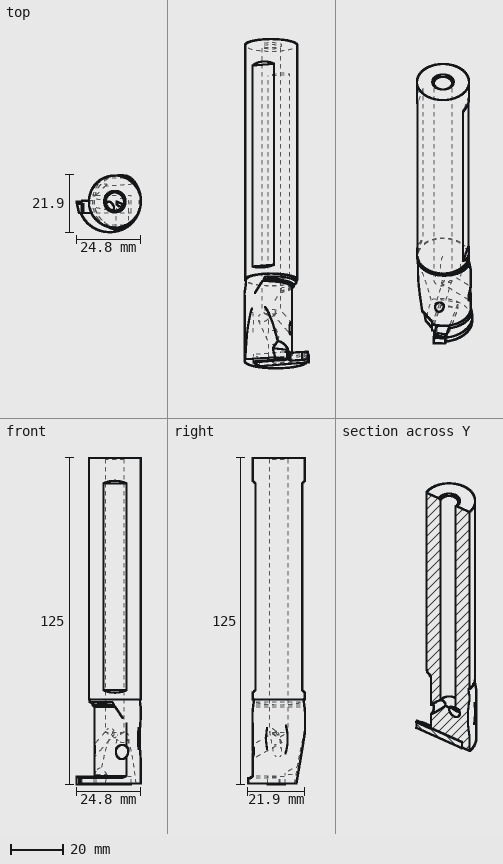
import cadquery as cq
import math

total_height = 125.0
shank_radius = 10.0
shank_bottom = 32.6
flat_distance = 9.0
flat_bottom = 36.1
flat_top = 115.2
flat_run_out = shank_radius - flat_distance

bore_radius = 3.5
bore_mouth_radius = 4.1
bore_bottom = 20.0
drill_tip_angle = 118.0

collar_radius = 9.6
collar_bottom = 31.6
collar_chamfer_end = 30.5

base_height = 0.4
inner_radius = 10.1
inner_center_x = 2.2
outer_radius = 12.0
outer_center_x = shank_radius - outer_radius
outer_center_y = 0.2
horn_radius = 10.9
horn_height = 23.1

root_size = 0.8

blade_top = 2.5

insert_top = 3.1
insert_tip_x = -14.8
insert_end_x = 6.2
insert_front_y = -4.4
insert_nose_y = 0.0
insert_land_y = 0.4
insert_shoulder_y = 2.4
nose_end_x = -12.6
land_end_x = -8.0
nose_relief = 1.0

groove_start_y = -0.9
groove_edge_x = -12.0
groove_floor_x = -12.8
groove_depth = 0.6
groove_tip_depth = 0.2

pocket_wall_x = -7.2
pocket_wall_turn = 45.0
pocket_height = 3.9
pocket_slope_top = 6.5
pocket_slope_run = 1.8
back_top = 21.5
back_top_y = 10.0
back_foot_y = 6.1
back_twist = 4.0

hollow_depth = 0.8
hollow_height = 18.8
hollow_mid_z = 17.5
hollow_twist = 5.0

front_outlet_diameter = 4.8
front_outlet_mouth = (2.8, -10.0, 12.5)
front_outlet_target = (3.0, 0.0, 18.1)
side_outlet_diameter = 3.2
side_outlet_mouth = (-7.9, -0.5, 12.9)
side_outlet_target = (-0.6, -2.0, 21.2)
outlet_overrun = 0.5

reach = 50.0


def cylinder(radius, bottom, top, x=0.0, y=0.0):
    return cq.Workplane("XY", origin=(x, y, bottom)).circle(radius).extrude(top - bottom)


def cone(lower_radius, upper_radius, bottom, top, x=0.0):
    return cq.Workplane(
        cq.Solid.makeCone(lower_radius, upper_radius, top - bottom, cq.Vector(x, 0, bottom))
    )


def front_half(bottom, top):
    """Block that fills everything on the -Y side of the shank axis."""
    return cq.Workplane("XY", origin=(0, -reach / 2, bottom)).rect(reach, reach).extrude(top - bottom)


def make_shank():
    shank = cylinder(shank_radius, shank_bottom, total_height)
    for side in (1, -1):
        flat_cut = (
            cq.Workplane("YZ")
            .polyline([
                (side * flat_distance, flat_bottom),
                (side * flat_distance, flat_top),
                (side * shank_radius, flat_top + flat_run_out),
                (side * shank_radius, flat_bottom - flat_run_out),
            ])
            .close()
            .extrude(shank_radius, both=True)
        )
        shank = shank.cut(flat_cut)
    return shank


def make_neck():
    inner = cylinder(inner_radius, base_height, shank_bottom, inner_center_x)
    outer = cylinder(outer_radius, base_height, shank_bottom, outer_center_x, outer_center_y)
    trim = cylinder(horn_radius, base_height, horn_height).union(
        cone(horn_radius, collar_radius, horn_height, collar_bottom)
    )
    neck = inner.intersect(outer).intersect(trim)
    collar = cylinder(collar_radius, collar_bottom, shank_bottom)
    collar_chamfer = cone(
        inner_radius - inner_center_x, collar_radius, collar_chamfer_end, collar_bottom
    )
    collar_root = cone(
        inner_radius, inner_radius + root_size, collar_chamfer_end - root_size, collar_chamfer_end,
        inner_center_x,
    ).intersect(outer).intersect(trim)
    return neck.union(collar).union(collar_chamfer).union(collar_root)


def make_blade():
    root_top = blade_top + root_size
    root = cone(inner_radius + root_size, inner_radius, blade_top, root_top, inner_center_x)
    disc = cylinder(outer_radius, base_height, root_top, outer_center_x, outer_center_y)
    plate = disc.intersect(front_half(base_height, blade_top))
    return plate.union(root.intersect(disc).intersect(front_half(blade_top, root_top)))


def make_bore():
    tip_depth = bore_radius / math.tan(math.radians(drill_tip_angle / 2))
    mouth_depth = bore_mouth_radius - bore_radius
    return (
        cq.Workplane("XZ")
        .polyline([
            (0, bore_bottom - tip_depth),
            (bore_radius, bore_bottom),
            (bore_radius, total_height - mouth_depth),
            (bore_mouth_radius, total_height),
            (0, total_height),
        ])
        .close()
        .revolve(360, (0, 0, 0), (0, 1, 0))
    )


def make_outlet(diameter, mouth, target):
    start = cq.Vector(*mouth)
    direction = cq.Vector(*target) - start
    outside = start - direction * outlet_overrun
    return cq.Workplane(
        cq.Solid.makeCylinder(diameter / 2, direction.Length * (1 + outlet_overrun), outside, direction)
    )


def make_chip_pocket():
    wall_foot = (pocket_wall_x, insert_shoulder_y, 0)
    tool = (
        cq.Workplane("XZ", origin=wall_foot)
        .polyline([
            (-reach, 0),
            (0, 0),
            (0, pocket_height),
            (-pocket_slope_run, pocket_slope_top),
            (-reach, pocket_slope_top),
        ])
        .close()
        .extrude(reach, both=True)
        .rotate(wall_foot, (pocket_wall_x, insert_shoulder_y, 1), -pocket_wall_turn)
    )
    behind_insert = (
        cq.Workplane("XY", origin=(0, insert_shoulder_y + reach / 2, 0)).rect(reach, reach).extrude(reach)
    )
    return tool.intersect(behind_insert)


def make_back_relief():
    return (
        cq.Workplane("YZ")
        .polyline([(back_foot_y, 0), (reach, 0), (reach, back_top), (back_top_y, back_top)])
        .close()
        .extrude(reach, both=True)
        .rotate((0, 0, 0), (0, 0, 1), back_twist)
    )


def make_hollow():
    radius = (hollow_height ** 2 / 4 + hollow_depth ** 2) / (2 * hollow_depth)
    center_x = shank_radius - hollow_depth + radius
    return (
        cq.Workplane("XZ", origin=(center_x, 0, hollow_mid_z))
        .circle(radius)
        .extrude(reach, both=True)
        .rotate((0, 0, 0), (0, 0, 1), -hollow_twist)
    )


def make_insert():
    blank = (
        cq.Workplane("XY")
        .polyline([
            (insert_tip_x, insert_nose_y),
            (nose_end_x, insert_nose_y),
            (nose_end_x, insert_land_y),
            (land_end_x, insert_land_y),
            (land_end_x, insert_shoulder_y),
            (insert_end_x, insert_shoulder_y),
            (insert_end_x, insert_front_y),
            (insert_tip_x + nose_relief, insert_front_y),
        ])
        .close()
        .extrude(insert_top)
    )
    groove = (
        cq.Workplane("XZ", origin=(0, groove_start_y, 0))
        .polyline([
            (groove_edge_x, insert_top),
            (groove_floor_x, insert_top - groove_depth),
            (insert_tip_x, insert_top - groove_tip_depth),
            (insert_tip_x, insert_top),
        ])
        .close()
        .extrude(reach)
    )
    return blank.cut(groove)


def make_holder():
    holder = make_shank().union(make_neck()).union(make_blade())
    holder = holder.cut(make_bore())
    holder = holder.cut(make_outlet(front_outlet_diameter, front_outlet_mouth, front_outlet_target))
    holder = holder.cut(make_outlet(side_outlet_diameter, side_outlet_mouth, side_outlet_target))
    return holder.cut(make_back_relief()).cut(make_chip_pocket()).cut(make_hollow())


insert = make_insert()
holder = make_holder().cut(insert)

result = cq.Compound.makeCompound([holder.val(), insert.val()])